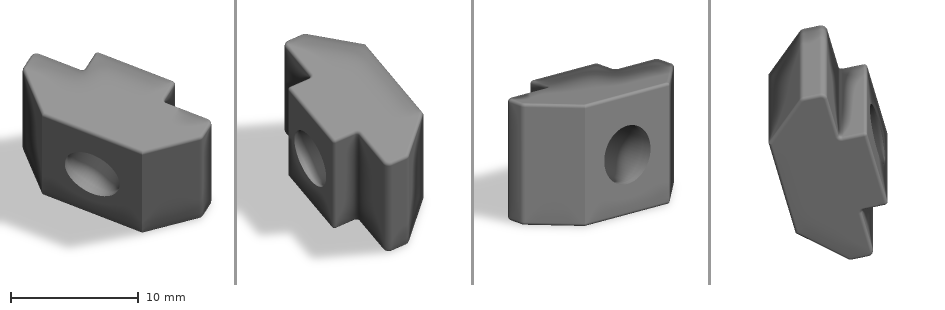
import cadquery as cq

width = 15.75
depth = 7.7
height = 10.0

stem_width = 7.0
stem_depth = 2.2
front_width = 8.75
hole_diameter = 4.8

edge_radius = 0.25
wing_radius = 2 * edge_radius

half_width = width / 2
half_stem = stem_width / 2
half_front = front_width / 2
shoulder_y = depth - stem_depth
flank_y = half_width - half_front


def nut_blank():
    """Extrude the T-shaped section along Z, with the front face at Y = 0."""
    right_half = [
        (half_front, 0),
        (half_width, flank_y),
        (half_width, shoulder_y),
        (half_stem, shoulder_y),
        (half_stem, depth),
    ]
    left_half = [(-x, y) for x, y in reversed(right_half)]
    return cq.Workplane("XY").polyline(right_half + left_half).close().extrude(height)


def round_upright_edges(body, corner, radius):
    """Round the upright edge at a section corner and its mirror image."""
    x, y = corner
    for side in (-1, 1):
        edge = cq.selectors.NearestToPointSelector((side * x, y, height / 2))
        body = body.edges("|Z").edges(edge).fillet(radius)
    return body


body = nut_blank()

body = round_upright_edges(body, (half_width, flank_y), wing_radius)
body = round_upright_edges(body, (half_width, shoulder_y), wing_radius)
body = round_upright_edges(body, (half_stem, shoulder_y), edge_radius)

stem_corners = body.faces(">Y").edges("|Z")
body = body.faces("|Z").edges().add(stem_corners).fillet(edge_radius)

hole = (
    cq.Workplane("XZ")
    .center(0, height / 2)
    .circle(hole_diameter / 2)
    .extrude(-depth)
)
result = body.cut(hole)